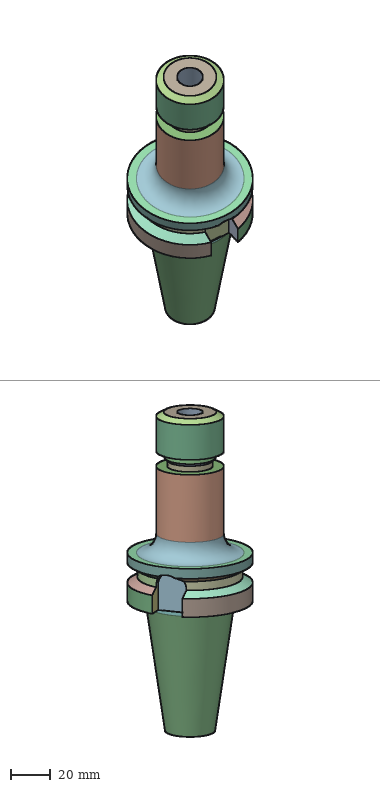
import cadquery as cq
import math

total_height = 165.4

gauge_radius = 22.2
gauge_height = 65.3
taper_ratio = 7 / 24
shank_end_radius = gauge_radius - gauge_height * taper_ratio / 2

flange_radius = 63.0 / 2
flange_bottom = gauge_height + 2.0
flange_top = 92.5
groove_radius = 26.5
groove_flank_angle = 60.0
groove_flank_height = (flange_radius - groove_radius) / math.tan(math.radians(groove_flank_angle))
groove_bottom = 76.9
groove_top = 87.3

slot_width = 16.4
slot_top = 88.5
slot_floor = 22.5

body_radius = 17.0
body_fillet = 10.0
body_top = 137.3
neck_radius = 11.4
neck_top = 140.3
collar_radius = 12.9
collar_bottom = neck_top + collar_radius - neck_radius

nut_bottom = 145.0
nut_face_radius = 13.2
nut_chamfer_height = 2.2

bore_radius = 6.5


def turned_body():
    """Revolve the outer half profile, including the central bore, about Z."""
    fillet_reach = body_fillet * (1 - math.sqrt(0.5))
    profile = (
        cq.Workplane("XZ")
        .moveTo(bore_radius, 0)
        .lineTo(shank_end_radius, 0)
        .lineTo(gauge_radius, gauge_height)
        .lineTo(gauge_radius, flange_bottom)
        .lineTo(flange_radius, flange_bottom)
        .lineTo(flange_radius, groove_bottom)
        .lineTo(groove_radius, groove_bottom + groove_flank_height)
        .lineTo(groove_radius, groove_top - groove_flank_height)
        .lineTo(flange_radius, groove_top)
        .lineTo(flange_radius, flange_top)
        .lineTo(body_radius + body_fillet, flange_top)
        .threePointArc(
            (body_radius + fillet_reach, flange_top + fillet_reach),
            (body_radius, flange_top + body_fillet),
        )
        .lineTo(body_radius, body_top)
        .lineTo(neck_radius, body_top)
        .lineTo(neck_radius, neck_top)
        .lineTo(collar_radius, collar_bottom)
        .lineTo(collar_radius, nut_bottom)
        .lineTo(body_radius, nut_bottom)
        .lineTo(body_radius, total_height - nut_chamfer_height)
        .lineTo(nut_face_radius, total_height)
        .lineTo(bore_radius, total_height)
        .close()
    )
    return profile.revolve(360, (0, 0, 0), (0, 1, 0))


def drive_slot(side):
    """Round-topped slot cutter, open downward; side is -1 or +1 along X."""
    half_width = slot_width / 2
    arc_center = slot_top - half_width
    return (
        cq.Workplane("YZ", origin=(side * slot_floor, 0, 0))
        .moveTo(-half_width, flange_bottom)
        .lineTo(half_width, flange_bottom)
        .lineTo(half_width, arc_center)
        .threePointArc((0, slot_top), (-half_width, arc_center))
        .close()
        .extrude(side * flange_radius)
    )


result = turned_body()
for side in (-1, 1):
    result = result.cut(drive_slot(side))